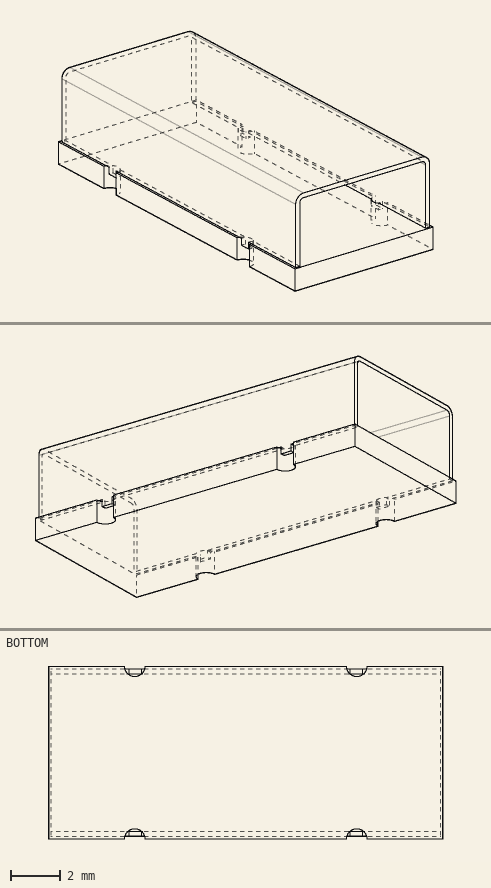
import cadquery as cq

BASE_LENGTH = 16.0
BASE_WIDTH = 7.0
BASE_HEIGHT = 1.0

TOTAL_HEIGHT = 4.2
COVER_LENGTH = 15.8
COVER_WIDTH = 6.8
COVER_WALL = 0.2
BEND_RADIUS = 0.4
COVER_HEIGHT = TOTAL_HEIGHT - BASE_HEIGHT

NOTCH_RADIUS = 0.42
NOTCH_SPACING = 9.0
TAB_SPACING = 8.96
TAB_WIDTH = 0.5
TAB_DEPTH = 0.3


def side_points(spacing, y):
    """Two places along each long side, at distance y from the centre line."""
    return [(sx * spacing / 2, sy * y) for sx in (-1, 1) for sy in (-1, 1)]


def make_base():
    """Plate resting on Z = 0 with half-round notches through its full height."""
    plate = cq.Workplane("XY").box(BASE_LENGTH, BASE_WIDTH, BASE_HEIGHT, centered=(True, True, False))
    notches = (
        cq.Workplane("XY")
        .pushPoints(side_points(NOTCH_SPACING, BASE_WIDTH / 2))
        .circle(NOTCH_RADIUS)
        .extrude(BASE_HEIGHT)
    )
    return plate.cut(notches)


def cover_block(width, height, bend_radius):
    """Block standing on the base with its two long top edges rounded."""
    return (
        cq.Workplane("XY", origin=(0, 0, BASE_HEIGHT))
        .box(COVER_LENGTH, width, height, centered=(True, True, False))
        .edges("|X and >Z")
        .fillet(bend_radius)
    )


def make_cover():
    """Constant-thickness channel with a flat top and two side walls."""
    outside = cover_block(COVER_WIDTH, COVER_HEIGHT, BEND_RADIUS)
    inside = cover_block(COVER_WIDTH - 2 * COVER_WALL, COVER_HEIGHT - COVER_WALL, BEND_RADIUS - COVER_WALL)
    return outside.cut(inside)


def make_tabs():
    """Tabs continuing the cover walls down into the notches."""
    wall_middle = (COVER_WIDTH - COVER_WALL) / 2
    return (
        cq.Workplane("XY", origin=(0, 0, BASE_HEIGHT))
        .pushPoints(side_points(TAB_SPACING, wall_middle))
        .rect(TAB_WIDTH, COVER_WALL)
        .extrude(-TAB_DEPTH)
    )


result = make_base().union(make_cover()).union(make_tabs())